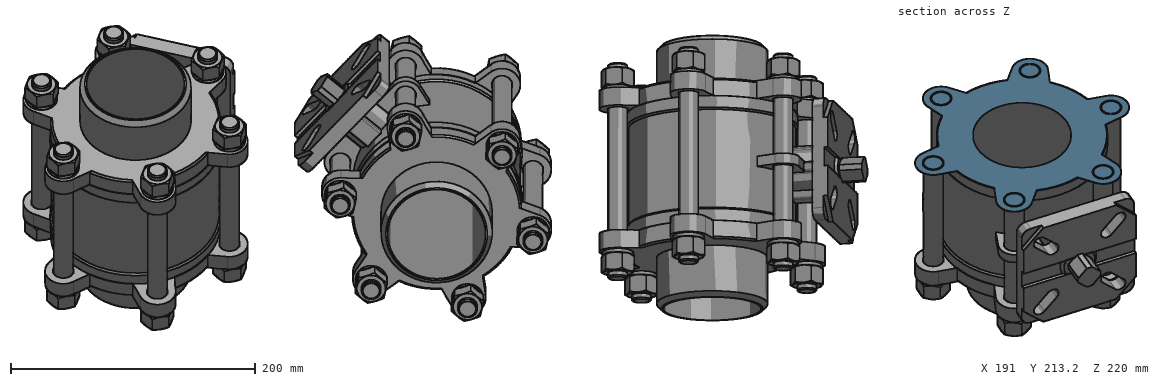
import math

import cadquery as cq


overall_length = 220.0
bore_dia = 80.0
pipe_dia = 91.0
pipe_end_dia = 83.0
pipe_bevel_height = 4.0

body_dia = 137.0
collar_dia = 140.0
collar_inner_z = 40.9
collar_chamfer = 1.8

flange_inner_z = 52.5
flange_thickness = 15.0
flange_dia = 139.0
flange_chamfer = 1.5
ear_count = 6
ear_radius = 15.0
ear_flare_angle = 10.0
bolt_circle_dia = 161.0
bolt_hole_dia = 17.0

stud_dia = 16.0
stud_length = 180.0
stud_chamfer = 1.2
washer_dia = 26.0
washer_thickness = 3.0
nut_sides = 6
nut_across_flats = 24.0
nut_height = 14.8
nut_face_dia = 23.5
nut_chamfer_angle = 30.0

lug_thickness = 8.4
lug_radius = 13.0
lug_flare_angle = 18.0
lug_bottom_y = 49.2

neck_root_y = 55.0
neck_dia = 38.0
neck_rib_span = 43.4
neck_rib_width = 8.0
neck_fillet = 1.4
stop_width = 17.0
stop_bottom_z = -23.6
stop_fillet = 1.3

plate_back_y = 97.0
plate_thickness = 13.0
plate_side = 102.0
plate_corner_radius = 8.3
plate_corner_cut = 18.0
plate_corner_depth = 3.7
groove_width = 15.6
groove_depth = 3.0
slot_width = 11.0
slot_inner_circle_dia = 70.0
slot_outer_circle_dia = 102.0

stem_end_y = 128.5
stem_square = 17.5
stem_across_corners = 20.0
gland_recess = 0.6
gland_top_radius = 14.0
gland_base_radius = 16.4

half_length = overall_length / 2
bolt_radius = bolt_circle_dia / 2
flange_outer_z = flange_inner_z + flange_thickness
plate_face_y = plate_back_y + plate_thickness
groove_floor_y = plate_face_y - groove_depth
ear_angles = [360 / ear_count * i for i in range(ear_count)]
bolt_points = [
    (bolt_radius * math.cos(math.radians(a)), bolt_radius * math.sin(math.radians(a)))
    for a in ear_angles
]


def disc(diameter, z_start, height):
    """Cylinder along Z from z_start upwards."""
    return cq.Workplane("XY", origin=(0, 0, z_start)).circle(diameter / 2).extrude(height)


def along_y(y_start):
    """Sketch plane facing +Y: local x is -X, local y is Z."""
    return cq.Workplane("XZ", origin=(0, y_start, 0)).transformed(rotate=(0, 180, 0))


def make_pipe_stub():
    """Upper pipe stub with its weld bevel."""
    bevel_z = half_length - pipe_bevel_height
    profile = [
        (0, 0),
        (pipe_dia / 2, 0),
        (pipe_dia / 2, bevel_z),
        (pipe_end_dia / 2, half_length),
        (0, half_length),
    ]
    return cq.Workplane("XZ").polyline(profile).close().revolve(360, (0, 0), (0, 1))


def make_collar():
    """Upper body collar, chamfered on the side facing the body."""
    collar = disc(collar_dia, collar_inner_z, flange_inner_z - collar_inner_z)
    return collar.faces("<Z").chamfer(collar_chamfer)


def make_ear():
    """One flange ear on +X: a round end flaring into the flange disc."""
    flare = math.radians(ear_flare_angle)
    tangent_x = bolt_radius + ear_radius * math.sin(flare)
    tangent_y = ear_radius * math.cos(flare)
    root_x = (bore_dia + flange_dia) / 4
    root_y = tangent_y + (tangent_x - root_x) * math.tan(flare)
    return (
        cq.Workplane("XY", origin=(0, 0, flange_inner_z))
        .moveTo(root_x, -root_y)
        .lineTo(tangent_x, -tangent_y)
        .threePointArc((bolt_radius + ear_radius, 0), (tangent_x, tangent_y))
        .lineTo(root_x, root_y)
        .close()
        .extrude(flange_thickness)
    )


def make_flange():
    """Upper flange: chamfered disc, ears and stud holes."""
    flange = disc(flange_dia, flange_inner_z, flange_thickness)
    flange = flange.faces(">Z").chamfer(flange_chamfer)
    ear = make_ear()
    for angle in ear_angles:
        flange = flange.union(ear.rotate((0, 0, 0), (0, 0, 1), angle))
    holes = (
        cq.Workplane("XY", origin=(0, 0, flange_inner_z))
        .pushPoints(bolt_points)
        .circle(bolt_hole_dia / 2)
        .extrude(flange_thickness)
    )
    return flange.cut(holes)


def make_washer():
    """Washer standing on Z = 0 with a fully rounded rim."""
    flat_radius = (washer_dia - washer_thickness) / 2
    profile = (
        cq.Workplane("XZ")
        .lineTo(flat_radius, 0)
        .threePointArc((washer_dia / 2, washer_thickness / 2), (flat_radius, washer_thickness))
        .lineTo(0, washer_thickness)
        .close()
    )
    return profile.revolve(360, (0, 0), (0, 1))


def make_nut():
    """Hexagon nut standing on Z = 0, corners on +Y and -Y, both ends chamfered."""
    half_side_angle = 180 / nut_sides
    corner_dia = nut_across_flats / math.cos(math.radians(half_side_angle))
    hexagon = (
        cq.Workplane("XY")
        .polygon(nut_sides, corner_dia)
        .extrude(nut_height)
        .rotate((0, 0, 0), (0, 0, 1), half_side_angle)
    )
    chamfer_width = (corner_dia - nut_face_dia) / 2
    chamfer_height = chamfer_width * math.tan(math.radians(nut_chamfer_angle))
    envelope_profile = [
        (0, 0),
        (nut_face_dia / 2, 0),
        (corner_dia / 2, chamfer_height),
        (corner_dia / 2, nut_height - chamfer_height),
        (nut_face_dia / 2, nut_height),
        (0, nut_height),
    ]
    envelope = cq.Workplane("XZ").polyline(envelope_profile).close().revolve(360, (0, 0), (0, 1))
    return hexagon.intersect(envelope)


def make_stud_set():
    """Stud on the Z axis with a washer and a nut at each end."""
    stud = disc(stud_dia, -stud_length / 2, stud_length).faces("<Z or >Z").chamfer(stud_chamfer)
    washer = make_washer().translate((0, 0, flange_outer_z))
    nut = make_nut().translate((0, 0, flange_outer_z + washer_thickness))
    fastener = washer.union(nut)
    return stud.union(fastener).union(fastener.mirror("XY"))


def make_lug_plate():
    """Flat plate through the body with a round lug around each stud on the +Y side."""
    flare = math.radians(lug_flare_angle)
    lug_x, lug_y = bolt_points[1]
    tangent_x = lug_x + lug_radius * math.cos(flare)
    tangent_y = lug_y - lug_radius * math.sin(flare)
    arc_angle = (math.pi / 2 - flare) / 2
    arc_mid_x = lug_x + lug_radius * math.cos(arc_angle)
    arc_mid_y = lug_y + lug_radius * math.sin(arc_angle)
    root_x = tangent_x - (tangent_y - lug_bottom_y) * math.tan(flare)
    top_y = lug_y + lug_radius
    plate = (
        cq.Workplane("XY", origin=(0, 0, -lug_thickness / 2))
        .moveTo(-root_x, lug_bottom_y)
        .lineTo(root_x, lug_bottom_y)
        .lineTo(tangent_x, tangent_y)
        .threePointArc((arc_mid_x, arc_mid_y), (lug_x, top_y))
        .lineTo(-lug_x, top_y)
        .threePointArc((-arc_mid_x, arc_mid_y), (-tangent_x, tangent_y))
        .close()
        .extrude(lug_thickness)
    )
    holes = (
        cq.Workplane("XY", origin=(0, 0, -lug_thickness / 2))
        .pushPoints([(lug_x, lug_y), (-lug_x, lug_y)])
        .circle(bolt_hole_dia / 2)
        .extrude(lug_thickness)
    )
    return plate.cut(holes)


def make_neck():
    """Round neck with four filleted ribs and a wide stop block underneath."""
    length = plate_back_y - neck_root_y
    neck = along_y(neck_root_y).circle(neck_dia / 2).extrude(length)
    neck = neck.union(along_y(neck_root_y).rect(neck_rib_span, neck_rib_width).extrude(length))
    neck = neck.union(along_y(neck_root_y).rect(neck_rib_width, neck_rib_span).extrude(length))
    neck = neck.edges("|Y").fillet(neck_fillet)
    stop = (
        along_y(neck_root_y)
        .center(0, stop_bottom_z / 2)
        .rect(stop_width, -stop_bottom_z)
        .extrude(length)
        .edges("|Y and <Z")
        .fillet(stop_fillet)
    )
    return neck.union(stop)


def make_mounting_plate():
    """Square plate with cut-back corners on its face, a groove and four diagonal slots."""
    plate = along_y(plate_back_y).rect(plate_side, plate_side).extrude(plate_thickness)
    plate = plate.edges("|Y").fillet(plate_corner_radius)

    face_layer_y = plate_face_y - plate_corner_depth
    octagon = (
        along_y(face_layer_y)
        .rect(plate_side, plate_side)
        .extrude(plate_corner_depth)
        .edges("|Y")
        .chamfer(plate_corner_cut)
    )
    face_layer = along_y(face_layer_y).rect(plate_side, plate_side).extrude(plate_corner_depth)
    plate = plate.cut(face_layer.cut(octagon))

    groove = along_y(groove_floor_y).rect(plate_side, groove_width).extrude(groove_depth)
    plate = plate.cut(groove)

    slot_travel = (slot_outer_circle_dia - slot_inner_circle_dia) / 2
    slot_center = (slot_outer_circle_dia + slot_inner_circle_dia) / 4
    for angle in (45, 135, 225, 315):
        slot = (
            along_y(plate_back_y)
            .transformed(rotate=(0, 0, angle))
            .center(slot_center, 0)
            .slot2D(slot_travel + slot_width, slot_width)
            .extrude(plate_thickness)
        )
        plate = plate.cut(slot)
    return plate


def make_stem():
    """Conical gland in the groove and the square stem, turned 45 degrees with its corners cut flat."""
    gland_height = groove_depth - gland_recess
    gland = (
        along_y(groove_floor_y)
        .circle(gland_base_radius)
        .workplane(offset=gland_height)
        .circle(gland_top_radius)
        .loft()
    )
    stem_length = stem_end_y - groove_floor_y
    square = (
        along_y(groove_floor_y)
        .transformed(rotate=(0, 0, 45))
        .rect(stem_square, stem_square)
        .extrude(stem_length)
    )
    corner_limit = (
        along_y(groove_floor_y)
        .rect(stem_across_corners, stem_across_corners)
        .extrude(stem_length)
    )
    return gland.union(square.intersect(corner_limit))


valve = disc(body_dia, -flange_inner_z, 2 * flange_inner_z)
for end_part in (make_pipe_stub(), make_collar(), make_flange()):
    valve = valve.union(end_part).union(end_part.mirror("XY"))

for side_part in (make_lug_plate(), make_neck(), make_mounting_plate(), make_stem()):
    valve = valve.union(side_part)

valve = valve.cut(disc(bore_dia, -half_length, overall_length))

stud_set = make_stud_set()
for x, y in bolt_points:
    valve = valve.union(stud_set.translate((x, y, 0)))

result = valve